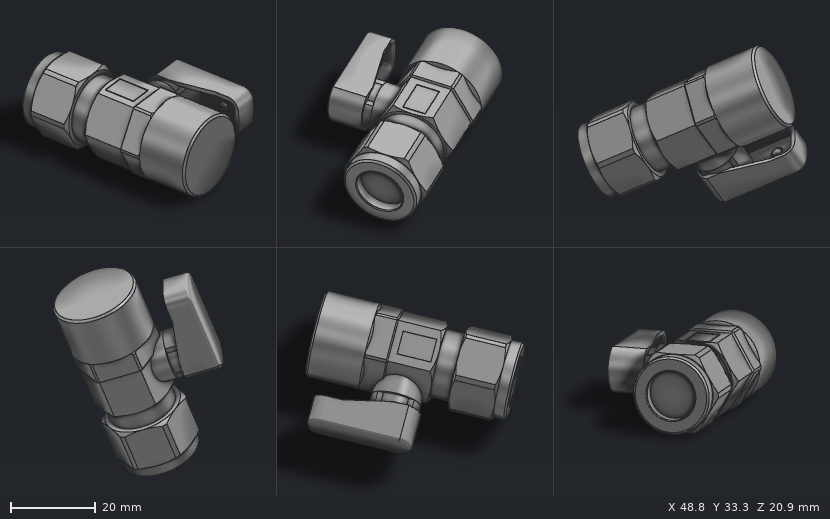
import cadquery as cq
import math


NUT_LENGTH = 14.05
NUT_FLATS = 19.0
NUT_CORNER_RADIUS = 10.65
NUT_HEX_START = 3.0
NUT_END_BEVEL = 0.65
COLLAR_RADIUS = 9.4
COLLAR_CHAMFER = 0.5
TUBE_RADIUS = 6.0
TUBE_DEPTH = 2.6
TUBE_MOUTH_CHAMFER = 0.25

BODY_LENGTH = 48.75
NECK_RADIUS = 8.3
HEX_START = 18.65
HEX_FLATS = 18.05
HEX_BEVEL = 0.85
HEX_STEP_START = 29.95
HEX_STEP_LENGTH = 0.35
WIDE_HEX_FLATS = NUT_FLATS
WIDE_HEX_CORNER_RADIUS = 10.75
WIDE_HEX_BEVEL_START = 35.3
SOCKET_START = 35.6
SOCKET_DIAMETER = 20.9
SOCKET_RADIUS = SOCKET_DIAMETER / 2
SOCKET_CHAMFER = 0.55
SOCKET_CONE_ANGLE = 30
LABEL_X = 24.1
LABEL_LENGTH = 8.25
LABEL_WIDTH = 5.8
LABEL_DEPTH = 0.15

STEM_X = 26.3
BOSS_RADIUS = 6.0
BOSS_TOP = 11.5
HUB_RADIUS = 5.05
HUB_LOBE_HALF_WIDTH = 4.05
HANDLE_END = 45.3
HANDLE_TOP = 22.5
HANDLE_BOTTOM = 13.55
HANDLE_TIP_BOTTOM = 16.05
HANDLE_HALF_WIDTH = 5.5
HANDLE_NOSE_RADIUS = 6.6
HANDLE_CORNER_RADIUS = 3.05
HANDLE_TOP_FILLET = 0.8
SLOPE_START = 26.35
SLOPE_END = 38.3
CAVITY_FLOOR = 18.6
CAVITY_LIP_FILLET = 0.7
WALL = HANDLE_HALF_WIDTH - HUB_LOBE_HALF_WIDTH

PIN_X = 38.85
PIN_RADIUS = 1.2
PIN_SEAT_RADIUS = 1.55
PIN_SEAT_DEPTH = 0.5
PIN_HOLE_DEPTH = 1.95
PIN_PROTRUSION = 0.7
PIN_LENGTH = PIN_HOLE_DEPTH + PIN_PROTRUSION
PIN_TIP_FILLET = 0.9

PICK_MARGIN = 0.05


def disc(start, end, radius):
    """Cylinder on the main axis between two X positions."""
    return cq.Workplane("YZ", origin=(start, 0, 0)).circle(radius).extrude(end - start)


def hexagon(plane, flats):
    """Hexagon wire with corners on the Y axis."""
    return plane.polygon(6, flats / math.cos(math.pi / 6))


def hex_bar(start, end, flats):
    """Hexagonal bar on the main axis between two X positions."""
    return hexagon(cq.Workplane("YZ", origin=(start, 0, 0)), flats).extrude(end - start)


def turned(points):
    """Solid of revolution about the main axis from (x, radius) points."""
    return cq.Workplane("XY").polyline(points).close().revolve(360, (0, 0, 0), (1, 0, 0))


def stem_disc(start, end, radius):
    """Cylinder on the stem axis between two Y positions."""
    plane = cq.Workplane("XZ", origin=(STEM_X, start, 0))
    return plane.circle(radius).extrude(start - end)


def make_nut():
    flat_radius = NUT_FLATS / 2
    envelope = turned([
        (NUT_HEX_START, 0),
        (NUT_HEX_START, flat_radius),
        (NUT_HEX_START + NUT_END_BEVEL, NUT_CORNER_RADIUS),
        (NUT_LENGTH - NUT_END_BEVEL, NUT_CORNER_RADIUS),
        (NUT_LENGTH, flat_radius),
        (NUT_LENGTH, 0),
    ])
    nut = hex_bar(NUT_HEX_START, NUT_LENGTH, NUT_FLATS).intersect(envelope)
    collar = disc(0, NUT_HEX_START, COLLAR_RADIUS).faces("<X").chamfer(COLLAR_CHAMFER)
    bore = turned([
        (0, 0),
        (0, TUBE_RADIUS + TUBE_MOUTH_CHAMFER),
        (TUBE_MOUTH_CHAMFER, TUBE_RADIUS),
        (TUBE_DEPTH, TUBE_RADIUS),
        (TUBE_DEPTH, NECK_RADIUS),
        (NUT_LENGTH, NECK_RADIUS),
        (NUT_LENGTH, 0),
    ])
    return nut.union(collar).cut(bore)


def make_body():
    body = disc(TUBE_DEPTH, HEX_START, NECK_RADIUS)

    corner_radius = HEX_FLATS / 2 / math.cos(math.pi / 6)
    envelope = turned([
        (HEX_START, 0),
        (HEX_START, HEX_FLATS / 2),
        (HEX_START + HEX_BEVEL, corner_radius),
        (HEX_STEP_START, corner_radius),
        (HEX_STEP_START, 0),
    ])
    body = body.union(hex_bar(HEX_START, HEX_STEP_START, HEX_FLATS).intersect(envelope))

    step_end = HEX_STEP_START + HEX_STEP_LENGTH
    slope = hexagon(cq.Workplane("YZ", origin=(HEX_STEP_START, 0, 0)), HEX_FLATS)
    slope = hexagon(slope.workplane(offset=HEX_STEP_LENGTH), WIDE_HEX_FLATS).loft(ruled=True)
    wide_hex = slope.union(hex_bar(step_end, SOCKET_START, WIDE_HEX_FLATS))
    envelope = turned([
        (HEX_STEP_START, 0),
        (HEX_STEP_START, WIDE_HEX_CORNER_RADIUS),
        (WIDE_HEX_BEVEL_START, WIDE_HEX_CORNER_RADIUS),
        (SOCKET_START, SOCKET_RADIUS),
        (SOCKET_START, 0),
    ])
    body = body.union(wide_hex.intersect(envelope))

    cone_rise = SOCKET_RADIUS - WIDE_HEX_FLATS / 2
    cone_length = cone_rise * math.tan(math.radians(SOCKET_CONE_ANGLE))
    socket = turned([
        (SOCKET_START - cone_length, 0),
        (SOCKET_START - cone_length, WIDE_HEX_FLATS / 2),
        (SOCKET_START, SOCKET_RADIUS),
        (BODY_LENGTH - SOCKET_CHAMFER, SOCKET_RADIUS),
        (BODY_LENGTH, SOCKET_RADIUS - SOCKET_CHAMFER),
        (BODY_LENGTH, 0),
    ])
    body = body.union(socket).union(stem_disc(0, BOSS_TOP, BOSS_RADIUS))

    label = cq.Workplane("XY").box(LABEL_LENGTH, LABEL_WIDTH, 2 * LABEL_DEPTH)
    return body.cut(label.translate((LABEL_X, 0, HEX_FLATS / 2)))


def make_handle():
    nose_x = STEM_X - math.sqrt(HANDLE_NOSE_RADIUS**2 - HANDLE_HALF_WIDTH**2)
    tip_radius = HANDLE_END - STEM_X
    tip_x = STEM_X + math.sqrt(tip_radius**2 - HANDLE_HALF_WIDTH**2)
    outline = (
        cq.Workplane("XZ", origin=(0, HANDLE_BOTTOM, 0))
        .moveTo(nose_x, HANDLE_HALF_WIDTH)
        .lineTo(tip_x, HANDLE_HALF_WIDTH)
        .threePointArc((HANDLE_END, 0), (tip_x, -HANDLE_HALF_WIDTH))
        .lineTo(nose_x, -HANDLE_HALF_WIDTH)
        .threePointArc((STEM_X - HANDLE_NOSE_RADIUS, 0), (nose_x, HANDLE_HALF_WIDTH))
        .close()
    )
    handle = outline.extrude(HANDLE_BOTTOM - HANDLE_TOP)
    tip_corners = cq.selectors.BoxSelector(
        (tip_x - PICK_MARGIN, HANDLE_BOTTOM, -HANDLE_HALF_WIDTH - PICK_MARGIN),
        (tip_x + PICK_MARGIN, HANDLE_TOP, HANDLE_HALF_WIDTH + PICK_MARGIN),
    )
    handle = handle.edges(tip_corners).fillet(HANDLE_CORNER_RADIUS)
    handle = handle.faces(">Y").edges().fillet(HANDLE_TOP_FILLET)

    wedge = (
        cq.Workplane("XY")
        .moveTo(SLOPE_START, HANDLE_BOTTOM)
        .lineTo(SLOPE_END, HANDLE_TIP_BOTTOM)
        .lineTo(HANDLE_END, HANDLE_TIP_BOTTOM)
        .lineTo(HANDLE_END, HANDLE_BOTTOM)
        .close()
        .extrude(HANDLE_HALF_WIDTH, both=True)
    )
    handle = handle.cut(wedge)

    cavity_end = HANDLE_END - WALL
    cavity = (
        cq.Workplane("XZ", origin=((STEM_X + cavity_end) / 2, HANDLE_BOTTOM, 0))
        .rect(cavity_end - STEM_X, 2 * HUB_LOBE_HALF_WIDTH)
        .extrude(HANDLE_BOTTOM - CAVITY_FLOOR)
        .edges("|Y and >X")
        .fillet(HANDLE_CORNER_RADIUS - WALL)
    )
    handle = handle.cut(cavity)
    lip = cq.selectors.BoxSelector(
        (SLOPE_START + PICK_MARGIN, HANDLE_BOTTOM - PICK_MARGIN, -HUB_LOBE_HALF_WIDTH - PICK_MARGIN),
        (cavity_end + PICK_MARGIN, HANDLE_TIP_BOTTOM + PICK_MARGIN, HUB_LOBE_HALF_WIDTH + PICK_MARGIN),
    )
    handle = handle.edges(lip).fillet(CAVITY_LIP_FILLET)

    lobe = stem_disc(BOSS_TOP, CAVITY_FLOOR, BOSS_RADIUS)
    lobe_band = cq.Workplane("XY").box(2 * HANDLE_END, 2 * HANDLE_TOP, 2 * HUB_LOBE_HALF_WIDTH)
    hub = stem_disc(BOSS_TOP, CAVITY_FLOOR, HUB_RADIUS).union(lobe.intersect(lobe_band))
    handle = handle.union(hub)

    hole = cq.Workplane("XZ", origin=(PIN_X, CAVITY_FLOOR, 0))
    handle = handle.cut(hole.circle(PIN_SEAT_RADIUS).extrude(-PIN_SEAT_DEPTH))
    return handle.cut(hole.circle(PIN_RADIUS).extrude(-PIN_HOLE_DEPTH))


def make_pin():
    """Round-tipped pin that stands proud of the cavity floor."""
    base = cq.Workplane("XZ", origin=(PIN_X, CAVITY_FLOOR + PIN_HOLE_DEPTH, 0))
    return base.circle(PIN_RADIUS).extrude(PIN_LENGTH).faces("<Y").edges().fillet(PIN_TIP_FILLET)


nut = make_nut()
body = make_body()
handle = make_handle()
pin = make_pin()

result = cq.Compound.makeCompound([nut.val(), body.val(), handle.val(), pin.val()])